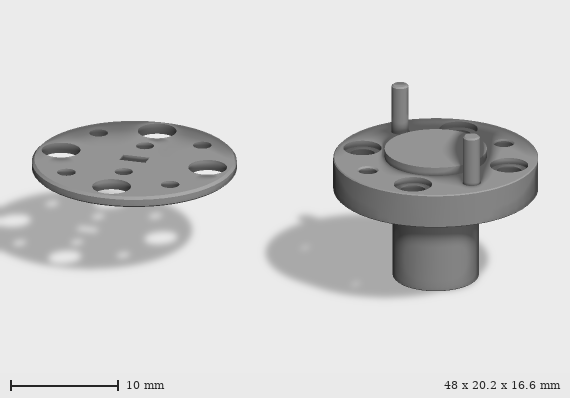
import cadquery as cq
import math

FLANGE_DIAMETER = 19.05
BOLT_CIRCLE_DIAMETER = 14.25
BOLT_CIRCLE_RADIUS = BOLT_CIRCLE_DIAMETER / 2
SCREW_ANGLES = (0, 90, 180, 270)
ALIGNMENT_HOLE_ANGLES = (45, 225)
PIN_ANGLES = (135, 315)

STEM_DIAMETER = 8.0
STEM_HEIGHT = 8.65
STEM_END_CHAMFER = 0.1
FLANGE_THICKNESS = 3.25
FLANGE_TOP = STEM_HEIGHT + FLANGE_THICKNESS
FLANGE_EDGE_CHAMFER = 0.1
BOSS_DIAMETER = 9.5
BOSS_HEIGHT = 0.8
SCREW_HOLE_DIAMETER = 2.3
COUNTERBORE_DIAMETER = 3.55
COUNTERBORE_DEPTH = 0.6
ALIGNMENT_HOLE_DIAMETER = 1.7
ALIGNMENT_HOLE_CHAMFER = 0.15
COUNTERSINK_ANGLE = 90

PIN_DIAMETER = 1.6
PIN_TOP = 16.55
PIN_END_CHAMFER = 0.15
PIN_HOLE_CHAMFER = 0.1

SHIM_OFFSET_X = -28.95
SHIM_OFFSET_Y = -1.2
SHIM_BOTTOM = 7.65
SHIM_THICKNESS = 1.0
SHIM_TOP_CHAMFER = 0.25
SHIM_BOTTOM_CHAMFER = 0.15
SHIM_SCREW_HOLE_DIAMETER = 3.6
SHIM_ALIGNMENT_HOLE_DIAMETER = 1.75
SHIM_INNER_HOLE_DIAMETER = 1.7
SHIM_INNER_HOLE_OFFSET = 3.3
WINDOW_LENGTH = 2.55
WINDOW_WIDTH = 1.3


def bolt_circle_points(angles):
    """Points on the bolt circle at the given angles in degrees."""
    return [
        (
            BOLT_CIRCLE_RADIUS * math.cos(math.radians(angle)),
            BOLT_CIRCLE_RADIUS * math.sin(math.radians(angle)),
        )
        for angle in angles
    ]


def cylinder(diameter, bottom, height):
    """Upright cylinder on the Z axis."""
    return cq.Workplane("XY", origin=(0, 0, bottom)).circle(diameter / 2).extrude(height)


def drill_chamfered(body, angles, diameter, chamfer):
    """Drill holes through the flange, each chamfered at its top rim."""
    top = body.copyWorkplane(cq.Workplane("XY", origin=(0, 0, FLANGE_TOP)))
    return top.pushPoints(bolt_circle_points(angles)).cskHole(diameter, diameter + 2 * chamfer, COUNTERSINK_ANGLE)


def make_flange():
    """Flange with a stem below, a raised boss above, and the hole pattern."""
    body = cylinder(FLANGE_DIAMETER, STEM_HEIGHT, FLANGE_THICKNESS).edges().chamfer(FLANGE_EDGE_CHAMFER)
    stem = cylinder(STEM_DIAMETER, 0, STEM_HEIGHT).faces("<Z").edges().chamfer(STEM_END_CHAMFER)
    body = body.union(stem)
    body = body.union(cylinder(BOSS_DIAMETER, FLANGE_TOP, BOSS_HEIGHT))

    top = body.copyWorkplane(cq.Workplane("XY", origin=(0, 0, FLANGE_TOP)))
    body = top.pushPoints(bolt_circle_points(SCREW_ANGLES)).cboreHole(
        SCREW_HOLE_DIAMETER, COUNTERBORE_DIAMETER, COUNTERBORE_DEPTH
    )
    body = drill_chamfered(body, ALIGNMENT_HOLE_ANGLES, ALIGNMENT_HOLE_DIAMETER, ALIGNMENT_HOLE_CHAMFER)
    return drill_chamfered(body, PIN_ANGLES, PIN_DIAMETER, PIN_HOLE_CHAMFER)


def make_pin(x, y):
    """Pin filling its flange hole and standing above it, chamfered on top."""
    pin = cylinder(PIN_DIAMETER, STEM_HEIGHT, PIN_TOP - STEM_HEIGHT)
    return pin.faces(">Z").edges().chamfer(PIN_END_CHAMFER).translate((x, y, 0))


def make_shim():
    """Thin disc with the bolt pattern, two inner holes and a central window."""
    body = cylinder(FLANGE_DIAMETER, SHIM_BOTTOM, SHIM_THICKNESS)
    body = body.faces(">Z").edges().chamfer(SHIM_TOP_CHAMFER)
    body = body.faces("<Z").edges().chamfer(SHIM_BOTTOM_CHAMFER)
    inner_points = [(0, SHIM_INNER_HOLE_OFFSET), (0, -SHIM_INNER_HOLE_OFFSET)]
    hole_sets = (
        (bolt_circle_points(SCREW_ANGLES), SHIM_SCREW_HOLE_DIAMETER),
        (bolt_circle_points(ALIGNMENT_HOLE_ANGLES + PIN_ANGLES), SHIM_ALIGNMENT_HOLE_DIAMETER),
        (inner_points, SHIM_INNER_HOLE_DIAMETER),
    )
    for points, diameter in hole_sets:
        body = body.faces(">Z").workplane(origin=(0, 0, 0)).pushPoints(points).hole(diameter)
    window = body.faces(">Z").workplane(origin=(0, 0, 0)).rect(WINDOW_LENGTH, WINDOW_WIDTH)
    body = window.cutThruAll()
    return body.translate((SHIM_OFFSET_X, SHIM_OFFSET_Y, 0))


flange = make_flange()
pins = [make_pin(x, y) for x, y in bolt_circle_points(PIN_ANGLES)]
shim = make_shim()

result = cq.Compound.makeCompound([flange.val(), *[pin.val() for pin in pins], shim.val()])